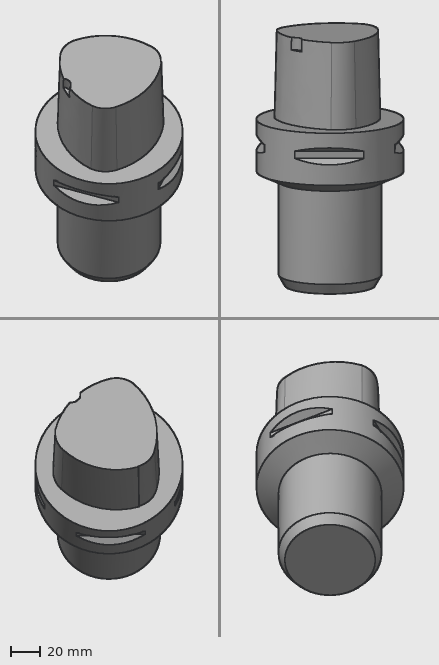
import cadquery as cq
import math

total_height = 175.0
taper_height = 60.0
flange_height = 36.0
shoulder_height = 7.0
gauge_z = total_height - taper_height
flange_bottom_z = gauge_z - flange_height
shank_top_z = flange_bottom_z - shoulder_height

flange_radius = 50.0
shank_radius = 35.0
chamfer_height = 7.5
chamfer_angle = 30
chamfer_depth = chamfer_height * math.tan(math.radians(chamfer_angle))

gauge_width = 72.0
taper_ratio = 1 / 20
lobe_radius_at_gauge = 17.3
lobe_centre_distance = 21.3
lobe_half_angle = 30
lobe_to_side_angle = 60
lobe_directions = (90, 210, 330)

key_radius = 6.0
key_axis_y = -35.0
key_depth = 8.5

notch_count = 4
notch_first_angle = 45
notch_depth = 5.8
notch_floor_height = 5.0
notch_wall_angle = 30
notch_drop = 16.0
notch_z = gauge_z - notch_drop


def polar(radius, degrees, centre=(0, 0)):
    angle = math.radians(degrees)
    return (centre[0] + radius * math.cos(angle), centre[1] + radius * math.sin(angle))


def make_body():
    """Shank, conical shoulder and flange, turned about Z."""
    profile = [
        (0, 0),
        (shank_radius - chamfer_depth, 0),
        (shank_radius, chamfer_height),
        (shank_radius, shank_top_z),
        (flange_radius, flange_bottom_z),
        (flange_radius, gauge_z),
        (0, gauge_z),
    ]
    return cq.Workplane("XZ").polyline(profile).close().revolve(360, (0, 0), (0, 1))


def add_polygon_outline(plane, width, lobe_radius):
    """Tight lobe arcs joined tangentially by flat side arcs centred on the opposite lobe."""
    side_radius = width - lobe_radius
    first_centre = polar(lobe_centre_distance, lobe_directions[0])
    outline = plane.moveTo(*polar(lobe_radius, lobe_directions[0] - lobe_half_angle, first_centre))
    for direction in lobe_directions:
        lobe_centre = polar(lobe_centre_distance, direction)
        side_direction = direction + lobe_to_side_angle
        side_centre = polar(lobe_centre_distance, side_direction + 180)
        outline = outline.threePointArc(
            polar(lobe_radius, direction, lobe_centre),
            polar(lobe_radius, direction + lobe_half_angle, lobe_centre),
        )
        outline = outline.threePointArc(
            polar(side_radius, side_direction, side_centre),
            polar(side_radius, side_direction + lobe_half_angle, side_centre),
        )
    return outline.close()


def make_taper():
    """Polygon taper; every point of the outline moves inward equally toward the top."""
    width_loss = taper_height * taper_ratio
    top_lobe_radius = lobe_radius_at_gauge - width_loss / 2
    base = add_polygon_outline(
        cq.Workplane("XY").workplane(offset=gauge_z), gauge_width, lobe_radius_at_gauge
    )
    top_plane = base.workplane(offset=taper_height)
    top = add_polygon_outline(top_plane, gauge_width - width_loss, top_lobe_radius)
    return top.loft(ruled=True)


def make_keyway():
    """Round-backed pocket, open at the top and at the -Y side of the taper."""
    return (
        cq.Workplane("XY")
        .workplane(offset=total_height - key_depth)
        .center(0, key_axis_y)
        .circle(key_radius)
        .extrude(key_depth)
    )


def make_notch(angle):
    """Straight trapezoidal groove across the flange rim, with a flat floor."""
    floor_x = flange_radius - notch_depth
    floor_half = notch_floor_height / 2
    mouth_half = floor_half + notch_depth * math.tan(math.radians(notch_wall_angle))
    section = [
        (floor_x, notch_z - floor_half),
        (flange_radius, notch_z - mouth_half),
        (flange_radius, notch_z + mouth_half),
        (floor_x, notch_z + floor_half),
    ]
    groove = cq.Workplane("XZ").polyline(section).close().extrude(flange_radius, both=True)
    return groove.rotate((0, 0, 0), (0, 0, 1), angle)


result = make_body().union(make_taper()).cut(make_keyway())
for index in range(notch_count):
    result = result.cut(make_notch(notch_first_angle + index * 360 / notch_count))